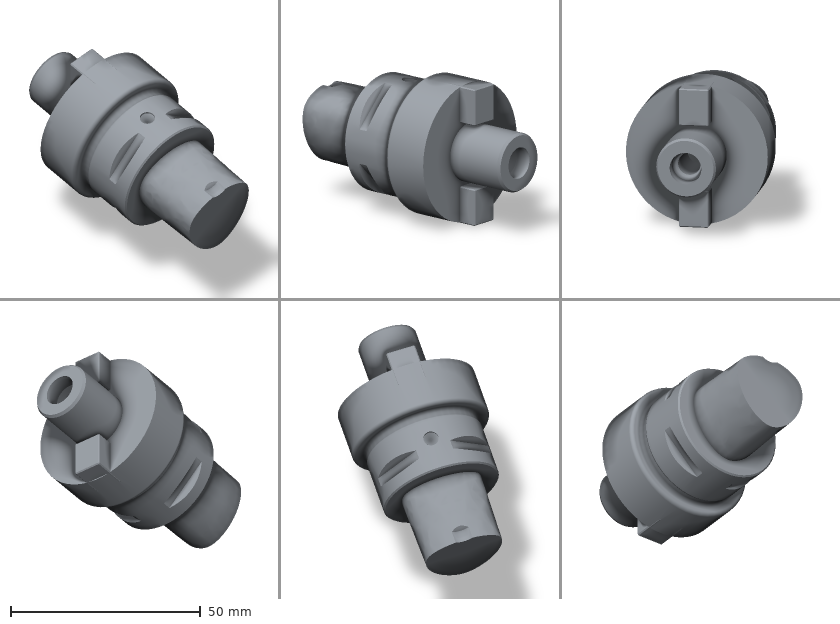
import math

import cadquery as cq


ARBOR_TIP_X = -47.0
FLANGE_FRONT_X = -30.0
FLANGE_BACK_X = -17.0
TAPER_END_X = 19.0

ARBOR_R = 16.0 / 2
FLANGE_R = 38.0 / 2
COLLAR_R = 32.0 / 2
NECK_R = 31.4 / 2

ARBOR_CHAMFER_LENGTH = 0.8
ARBOR_CHAMFER_DEPTH = 0.5
FLANGE_EDGE_R = 1.0
COLLAR_CHAMFER = 0.4
NECK_FILLET_R = 0.8
NECK_END_X = -15.0
NECK_RAMP_LENGTH = 0.5

POLYGON_MEAN_R = 11.06
POLYGON_ECCENTRICITY = 0.7
TAPER_RATIO = 1 / 20
POLYGON_POINTS = 72

BORE_MOUTH_R = 8.5 / 2
BORE_R = 6.0 / 2
BORE_MOUTH_DEPTH = 4.5
BORE_CONE_HALF_ANGLE = 45.0
BORE_DEPTH = 20.0

KEY_LENGTH = 10.0
KEY_WIDTH = 8.0
KEY_FRONT_X = -35.0
KEY_INNER_Z = 8.7
KEY_OUTER_Z = 18.7
KEY_CHAMFER = 0.3

SLOT_COUNT = 4
SLOT_X = -6.0
SLOT_FLOOR_WIDTH = 2.4
SLOT_FLOOR_R = 20.0 / math.sqrt(2)
SLOT_WALL_ANGLE = 30.0
SLOT_CUT_HEIGHT = 3.0

DIMPLE_X = -9.0
DIMPLE_R = 4.0 / 2
DIMPLE_WALL_DEPTH = 0.5
DIMPLE_POINT_ANGLE = 120.0

NOTCH_R = 4.0
NOTCH_AXIS_Z = 13.0
NOTCH_START_X = 15.8


def make_body():
    """Arbor, flange, neck and collar as one revolved profile."""
    fillet_end_x = FLANGE_BACK_X + NECK_FILLET_R
    collar_start_x = NECK_END_X + NECK_RAMP_LENGTH
    bend = 1 - math.sqrt(0.5)
    profile = (
        cq.Workplane("XY")
        .moveTo(ARBOR_TIP_X, 0)
        .lineTo(ARBOR_TIP_X, ARBOR_R - ARBOR_CHAMFER_DEPTH)
        .lineTo(ARBOR_TIP_X + ARBOR_CHAMFER_LENGTH, ARBOR_R)
        .lineTo(FLANGE_FRONT_X, ARBOR_R)
        .lineTo(FLANGE_FRONT_X, FLANGE_R)
        .lineTo(FLANGE_BACK_X - FLANGE_EDGE_R, FLANGE_R)
        .threePointArc(
            (FLANGE_BACK_X - bend * FLANGE_EDGE_R, FLANGE_R - bend * FLANGE_EDGE_R),
            (FLANGE_BACK_X, FLANGE_R - FLANGE_EDGE_R),
        )
        .lineTo(FLANGE_BACK_X, NECK_R + NECK_FILLET_R)
        .threePointArc(
            (FLANGE_BACK_X + bend * NECK_FILLET_R, NECK_R + bend * NECK_FILLET_R),
            (fillet_end_x, NECK_R),
        )
        .lineTo(NECK_END_X, NECK_R)
        .lineTo(collar_start_x, COLLAR_R)
        .lineTo(-COLLAR_CHAMFER, COLLAR_R)
        .lineTo(0, COLLAR_R - COLLAR_CHAMFER)
        .lineTo(0, 0)
        .close()
    )
    return profile.revolve(360, (0, 0, 0), (1, 0, 0))


def polygon_point(mean_r, angle):
    """Point (Y, Z) of the constant-width trilobe whose tangent normal is at `angle` from -Z."""
    support = mean_r + POLYGON_ECCENTRICITY * math.cos(3 * angle)
    support_slope = -3 * POLYGON_ECCENTRICITY * math.sin(3 * angle)
    along_lobe = support * math.cos(angle) - support_slope * math.sin(angle)
    across_lobe = support * math.sin(angle) + support_slope * math.cos(angle)
    return (across_lobe, -along_lobe)


def polygon_outline(mean_r):
    step = 2 * math.pi / POLYGON_POINTS
    return [polygon_point(mean_r, i * step) for i in range(POLYGON_POINTS)]


def make_taper():
    end_mean_r = POLYGON_MEAN_R - TAPER_END_X * TAPER_RATIO / 2
    return (
        cq.Workplane("YZ")
        .spline(polygon_outline(POLYGON_MEAN_R), periodic=True)
        .close()
        .workplane(offset=TAPER_END_X)
        .spline(polygon_outline(end_mean_r), periodic=True)
        .close()
        .loft(ruled=True)
    )


def make_key():
    """Chamfered driving key on the +Z side, sunk into the flange."""
    return (
        cq.Workplane("XY")
        .box(KEY_LENGTH, KEY_WIDTH, KEY_OUTER_Z - KEY_INNER_Z, centered=(False, True, False))
        .edges()
        .chamfer(KEY_CHAMFER)
        .translate((KEY_FRONT_X, 0, KEY_INNER_Z))
    )


def make_bore_cutter():
    """Cylindrical mouth narrowing through a cone to a flat-bottomed blind hole."""
    cone_start_x = ARBOR_TIP_X + BORE_MOUTH_DEPTH
    cone_length = (BORE_MOUTH_R - BORE_R) / math.tan(math.radians(BORE_CONE_HALF_ANGLE))
    return (
        cq.Workplane("XY")
        .moveTo(ARBOR_TIP_X, 0)
        .lineTo(ARBOR_TIP_X, BORE_MOUTH_R)
        .lineTo(cone_start_x, BORE_MOUTH_R)
        .lineTo(cone_start_x + cone_length, BORE_R)
        .lineTo(ARBOR_TIP_X + BORE_DEPTH, BORE_R)
        .lineTo(ARBOR_TIP_X + BORE_DEPTH, 0)
        .close()
        .revolve(360, (0, 0, 0), (1, 0, 0))
    )


def make_slot_cutter():
    """Trapezoidal straight slot across the +Z side of the collar."""
    floor_half = SLOT_FLOOR_WIDTH / 2
    top_half = floor_half + SLOT_CUT_HEIGHT * math.tan(math.radians(SLOT_WALL_ANGLE))
    top_z = SLOT_FLOOR_R + SLOT_CUT_HEIGHT
    return (
        cq.Workplane("XZ")
        .moveTo(SLOT_X - floor_half, SLOT_FLOOR_R)
        .lineTo(SLOT_X + floor_half, SLOT_FLOOR_R)
        .lineTo(SLOT_X + top_half, top_z)
        .lineTo(SLOT_X - top_half, top_z)
        .close()
        .extrude(COLLAR_R, both=True)
    )


def make_dimple_cutter():
    """Drilled dimple with a conical point, entering from +Z."""
    wall_end_z = COLLAR_R - DIMPLE_WALL_DEPTH
    point_z = wall_end_z - DIMPLE_R / math.tan(math.radians(DIMPLE_POINT_ANGLE / 2))
    return (
        cq.Workplane("XZ")
        .moveTo(0, point_z)
        .lineTo(DIMPLE_R, wall_end_z)
        .lineTo(DIMPLE_R, COLLAR_R)
        .lineTo(0, COLLAR_R)
        .close()
        .revolve(360, (0, 0, 0), (0, 1, 0))
        .translate((DIMPLE_X, 0, 0))
    )


def make_notch_cutter():
    """Cylinder along X with a 45-degree conical nose, passing over the +Z flat of the taper."""
    return (
        cq.Workplane("XY")
        .moveTo(NOTCH_START_X - NOTCH_R, 0)
        .lineTo(NOTCH_START_X, NOTCH_R)
        .lineTo(TAPER_END_X, NOTCH_R)
        .lineTo(TAPER_END_X, 0)
        .close()
        .revolve(360, (0, 0, 0), (1, 0, 0))
        .translate((0, 0, NOTCH_AXIS_Z))
    )


def about_axis(shape, angle):
    return shape.rotate((0, 0, 0), (1, 0, 0), angle)


result = make_body().union(make_taper())

for key_angle in (0, 180):
    result = result.union(about_axis(make_key(), key_angle))

slot_spacing = 360 / SLOT_COUNT
for slot_index in range(SLOT_COUNT):
    result = result.cut(about_axis(make_slot_cutter(), (slot_index + 0.5) * slot_spacing))

result = result.cut(make_bore_cutter())
result = result.cut(make_dimple_cutter())
result = result.cut(make_notch_cutter())